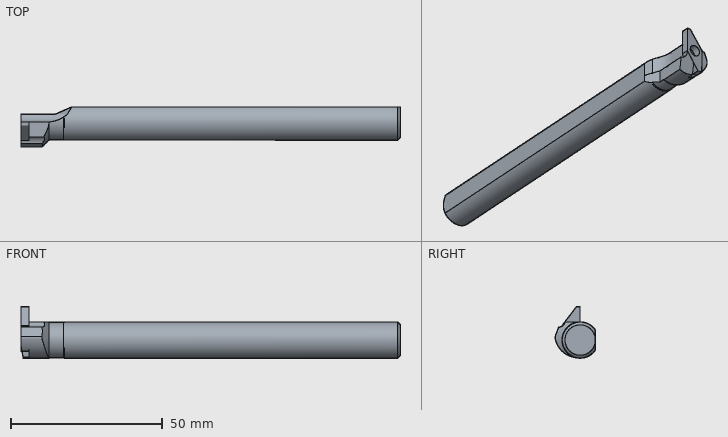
import cadquery as cq
import math


length = 125.0
shank_radius = 6.0
shank_flat_y = 5.0
end_chamfer = 1.0
neck_radius = 5.9
neck_end_x = 14.4
step_length = 0.4

head_reach = 8.2
head_end_x = 9.2
head_top_edge_y = -4.9
nose_top_z = 1.2
nose_bottom_z = 0.5
shoulder_y, shoulder_z = -7.1, 4.2
shoulder_bend = (-5.8, 4.8)
belly_bend = (-6.1, -3.5)
belly_join_y = -1.2
relief_top_z = -1.4
relief_depth = 0.8

side_y = 2.6
side_start_x = 11.4
side_end_x = 16.8
gullet_straight_x = 8.8
gullet_bend = (12.4, 0.8)
gullet_exit_x = 15.4
gullet_depth_z = -1.0
gullet_floor_bend = (0.8, 0.1)

insert_thickness = 2.8
insert_top_z = 11.0
insert_tip_width = 1.2
insert_tip_fillet = 0.6
insert_side_y = -6.0
insert_side_top_z = 4.8
insert_bottom_z = -3.8
insert_foot_y = -4.4
seat_top_z = 2.4
insert_hole_radius = 1.9
insert_hole_y, insert_hole_z = -3.1, 3.5
pocket_wall_y = -2.6

clear = 12.5


def circle_z(y):
    """Height of the shank circle above the axis at a given Y."""
    return math.sqrt(shank_radius**2 - y**2)


def seat_z(y):
    """Height of the sloping insert seat at a given Y."""
    return seat_top_z + (seat_top_z - insert_bottom_z) * y / -insert_foot_y


def revolve_about_x(points):
    return cq.Workplane("XZ").polyline(points).close().revolve(360, (0, 0, 0), (1, 0, 0))


def make_shank():
    """Round shank with a flat along +Y, a reduced neck and a chamfered end."""
    shank = revolve_about_x([
        (0, 0),
        (0, neck_radius),
        (neck_end_x - step_length, neck_radius),
        (neck_end_x, shank_radius),
        (length - end_chamfer, shank_radius),
        (length, shank_radius - end_chamfer),
        (length, 0),
    ])
    flat = cq.Workplane("XY").box(length, clear, 2 * clear, centered=(False, False, True))
    return shank.cut(flat.translate((0, shank_flat_y, 0)))


def make_head():
    """Head bulging towards -Y, tapered by a 45 degree cone down to the shank."""
    head = (
        cq.Workplane("YZ")
        .moveTo(0, shank_radius)
        .lineTo(head_top_edge_y, shank_radius)
        .threePointArc(shoulder_bend, (shoulder_y, shoulder_z))
        .lineTo(-head_reach, nose_top_z)
        .lineTo(-head_reach, nose_bottom_z)
        .threePointArc(belly_bend, (belly_join_y, -circle_z(belly_join_y)))
        .threePointArc((shank_radius, 0), (0, shank_radius))
        .close()
        .extrude(head_end_x)
    )
    envelope = revolve_about_x([
        (0, 0),
        (0, shank_radius + head_end_x),
        (head_end_x, shank_radius),
        (head_end_x, 0),
    ])
    return head.intersect(envelope)


def make_side_clearance():
    """Cut that narrows the +Y side of the head, ramping out to the shank flat."""
    return (
        cq.Workplane("XY")
        .polyline([
            (-clear, side_y),
            (side_start_x, side_y),
            (side_end_x, shank_flat_y),
            (side_end_x, clear),
            (-clear, clear),
        ])
        .close()
        .extrude(clear, both=True)
    )


def make_gullet():
    """Chip gullet beside the insert, with a rounded floor and a curved run-out."""
    channel = (
        cq.Workplane("YZ")
        .moveTo(0, clear)
        .lineTo(0, seat_top_z)
        .threePointArc(gullet_floor_bend, (side_y, gullet_depth_z))
        .lineTo(clear, gullet_depth_z)
        .lineTo(clear, clear)
        .close()
        .extrude(side_end_x)
    )
    run_out = (
        cq.Workplane("XY")
        .moveTo(0, 0)
        .lineTo(gullet_straight_x, 0)
        .threePointArc(gullet_bend, (gullet_exit_x, side_y))
        .lineTo(side_end_x, shank_flat_y)
        .lineTo(0, shank_flat_y)
        .close()
        .extrude(clear, both=True)
    )
    return channel.intersect(run_out)


def make_pocket():
    """Insert pocket, open at the top and below the foot of the insert."""
    return (
        cq.Workplane("YZ")
        .polyline([
            (0, clear),
            (insert_side_y, clear),
            (insert_side_y, -clear),
            (pocket_wall_y, -clear),
            (pocket_wall_y, seat_z(pocket_wall_y)),
            (0, seat_top_z),
        ])
        .close()
        .extrude(insert_thickness)
    )


def make_relief():
    """Wedge that slopes the lower part of the head's end face."""
    return (
        cq.Workplane("XZ")
        .polyline([
            (0, relief_top_z),
            (relief_depth, -shank_radius),
            (0, -shank_radius),
        ])
        .close()
        .extrude(clear, both=True)
    )


def make_holder():
    holder = make_shank().union(make_head())
    for cutter in (make_side_clearance(), make_gullet(), make_pocket(), make_relief()):
        holder = holder.cut(cutter)
    return holder


def make_insert():
    """Pointed plate with a through hole, resting on the sloping seat."""
    plate = (
        cq.Workplane("YZ")
        .polyline([
            (0, insert_top_z),
            (-insert_tip_width, insert_top_z),
            (insert_side_y, insert_side_top_z),
            (insert_side_y, insert_bottom_z),
            (insert_foot_y, insert_bottom_z),
            (0, seat_top_z),
        ])
        .close()
        .extrude(insert_thickness)
        .edges(cq.selectors.NearestToPointSelector(
            (insert_thickness / 2, -insert_tip_width, insert_top_z)))
        .fillet(insert_tip_fillet)
    )
    hole = (
        cq.Workplane("YZ")
        .center(insert_hole_y, insert_hole_z)
        .circle(insert_hole_radius)
        .extrude(insert_thickness)
    )
    return plate.cut(hole)


holder = make_holder()
insert = make_insert()
result = cq.Compound.makeCompound([*holder.solids().vals(), *insert.solids().vals()])